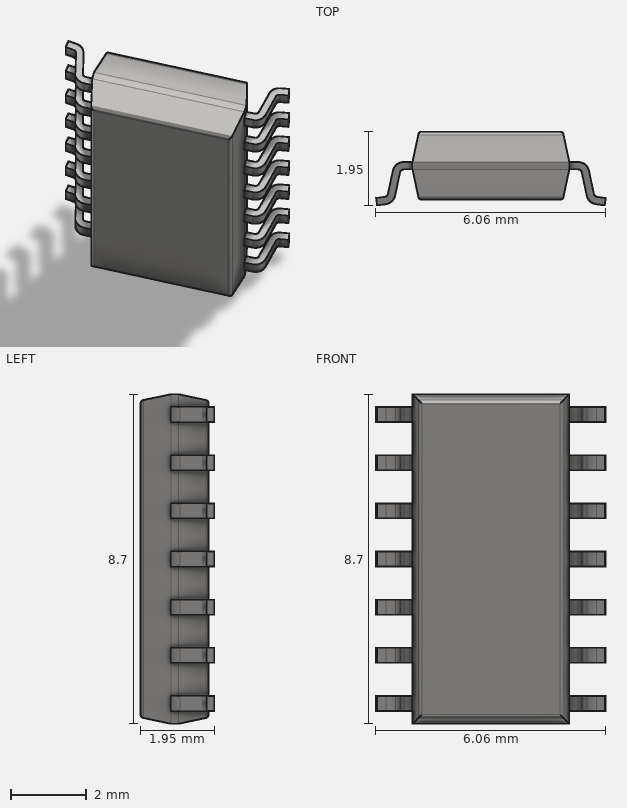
import cadquery as cq
import math


body_width = 4.14
body_length = 8.7
shell_depth = 0.8
draft_angle = 12.0
edge_radius = 0.1

lead_span = 6.06
lead_thickness = 0.2
lead_width = 0.4
lead_pitch = 1.27
leads_per_side = 7
lead_embed = 0.26
shoulder_length = 0.23
leg_length = 0.62
leg_angle = 12.0
foot_angle = 8.0
bend_inner_radius = 0.1
bend_outer_radius = bend_inner_radius + lead_thickness


def make_shell_half(direction):
    """Tapered half of the body, rising from the parting band toward +Y (1) or -Y (-1)."""
    normal = (0, direction, 0)
    start = (0, direction * lead_thickness / 2, 0)
    plane = cq.Plane(origin=start, xDir=(1, 0, 0), normal=normal)
    half = cq.Workplane(plane).rect(body_width, body_length).extrude(shell_depth, taper=draft_angle)
    outer_face = ">Y" if direction > 0 else "<Y"
    return half.faces(outer_face).edges().fillet(edge_radius)


def make_body():
    band = cq.Workplane("XY").box(body_width, lead_thickness, body_length)
    return band.union(make_shell_half(1)).union(make_shell_half(-1))


def polar(center, radius, degrees):
    """Point at the given radius and angle around a center."""
    angle = math.radians(degrees)
    return (center[0] + radius * math.cos(angle), center[1] + radius * math.sin(angle))


def make_lead():
    """Gull-wing lead on the +X side, centered on Z = 0."""
    half_thickness = lead_thickness / 2
    root_x = body_width / 2 - lead_embed

    upper_bend = (body_width / 2 + shoulder_length, -half_thickness - bend_inner_radius)
    across_leg = polar(upper_bend, bend_inner_radius + bend_outer_radius, leg_angle)
    lower_bend = polar(across_leg, leg_length, leg_angle - 90)

    upper_start = 90
    upper_end = leg_angle
    upper_middle = (upper_start + upper_end) / 2
    lower_start = 180 + leg_angle
    lower_end = 270 - foot_angle
    lower_middle = (lower_start + lower_end) / 2

    foot_top = polar(lower_bend, bend_inner_radius, lower_end)
    foot_bottom = polar(lower_bend, bend_outer_radius, lower_end)
    foot_length = (lead_span / 2 - foot_top[0]) / math.cos(math.radians(foot_angle))

    profile = (
        cq.Workplane("XY")
        .workplane(offset=-lead_width / 2)
        .moveTo(root_x, half_thickness)
        .lineTo(*polar(upper_bend, bend_outer_radius, upper_start))
        .threePointArc(
            polar(upper_bend, bend_outer_radius, upper_middle),
            polar(upper_bend, bend_outer_radius, upper_end),
        )
        .lineTo(*polar(lower_bend, bend_inner_radius, lower_start))
        .threePointArc(polar(lower_bend, bend_inner_radius, lower_middle), foot_top)
        .lineTo(*polar(foot_top, foot_length, -foot_angle))
        .lineTo(*polar(foot_bottom, foot_length, -foot_angle))
        .lineTo(*foot_bottom)
        .threePointArc(
            polar(lower_bend, bend_outer_radius, lower_middle),
            polar(lower_bend, bend_outer_radius, lower_start),
        )
        .lineTo(*polar(upper_bend, bend_inner_radius, upper_end))
        .threePointArc(
            polar(upper_bend, bend_inner_radius, upper_middle),
            polar(upper_bend, bend_inner_radius, upper_start),
        )
        .lineTo(root_x, -half_thickness)
        .close()
    )
    return profile.extrude(lead_width)


result = make_body()
right_lead = make_lead()
left_lead = right_lead.mirror("YZ")
for index in range(leads_per_side):
    lead_z = (index - (leads_per_side - 1) / 2) * lead_pitch
    for lead in (right_lead, left_lead):
        result = result.union(lead.translate((0, 0, lead_z)))